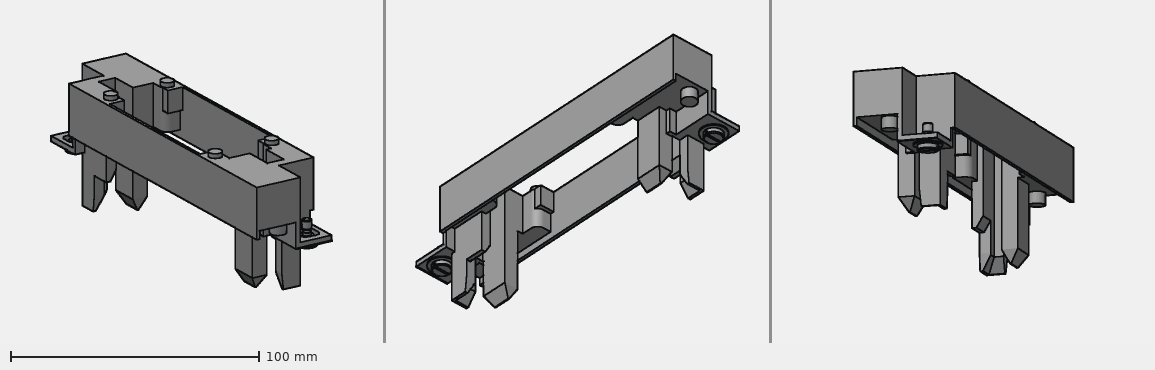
import cadquery as cq


FRAME_LENGTH = 155.2
FRAME_WIDTH = 37.6
FRAME_HEIGHT = 22.5
SIDE_WALL = 1.4
DECK_HEIGHT = 19.0
END_X = FRAME_LENGTH / 2
SIDE_Y = FRAME_WIDTH / 2
INNER_Y = SIDE_Y - SIDE_WALL

OPENING_LENGTH = 66.9
THROAT_LENGTH = 87.5
THROAT_WIDTH = 20.0
THROAT_X = THROAT_LENGTH / 2
SLOT_END_X = 56.9
SLOT_Y0 = -0.3
SLOT_Y1 = 7.6

PEG_X = 38.7
PEG_Y = 13.5
PEG_DIAMETER = 5.8
PEG_HEIGHT = 2.0
COLUMN_DIAMETER = 7.0
COLUMN_RADIUS = COLUMN_DIAMETER / 2
PAD_Y = 10.4
PAD_HEIGHT = 10.0

NOTCH_LENGTH = 16.0
NOTCH_Y = 2.2
NOTCH_X = END_X - NOTCH_LENGTH
FLANGE_WALL = 1.9
FLANGE_Y0 = 0.0
FLANGE_Y1 = 17.1
FLANGE_DEPTH = 30.5
FLANGE_THICKNESS = 2.5
FLANGE_TOP = FLANGE_THICKNESS - FLANGE_DEPTH
LIP = 0.3

RIB_X1 = 58.6
RIB_Y0 = -3.4
STUD_X = 72.2
STUD_Y = -5.1
STUD_DIAMETER = 7.0
STUD_END = 24.0

POST_DEPTH = 54.0
POINT_HEIGHT = 5.8
POINT_TOP = POINT_HEIGHT - POST_DEPTH
INNER_POST_X1 = 56.6
INNER_POST_Y0 = -7.3
POINT_X0 = 45.3
POINT_X1 = 53.3
POINT_Y0 = -3.9
POINT_Y1 = -3.4
ANGLE_X1 = NOTCH_X
ANGLE_Y0 = 3.5
ANGLE_Y1 = 12.5
ANGLE_ARM_X0 = 52.7
LEAD_IN = 3.5
LEAD_IN_HEIGHT = 6.2
END_TAPER = 0.8
END_TAPER_HEIGHT = 7.0
SHELF_DEPTH = 38.3
SHELF_FLAT = 2.0
SHELF_RISE = 4.7

SCREW_X = END_X - 7.8
SCREW_Y = 10.3
WINDOW_SIZE = 8.7
WINDOW_RADIUS = 2.6
WASHER_DIAMETER = 12.0
WASHER_BORE = 6.0
WASHER_THICKNESS = 0.6
HEAD_DIAMETER = 8.5
HEAD_HEIGHT = 2.3
HEAD_CHAMFER = 0.5
DRIVE_SLOT_WIDTH = 1.0
DRIVE_SLOT_DEPTH = 1.5
COLLAR_DIAMETER = 5.5
COLLAR_TOP = -28.8
STEP_DIAMETER = 3.5
STEP_TOP = -27.5
NECK_DIAMETER = 3.0
NECK_TOP = -26.5
TIP_DIAMETER = 4.0
TIP_SHOULDER = -25.8
TIP_END = -22.1
TIP_CHAMFER = 0.5


def block(x0, x1, y0, y1, z0, z1):
    """Box between two opposite corners."""
    return cq.Workplane("XY").box(x1 - x0, y1 - y0, z1 - z0, centered=False).translate((x0, y0, z0))


def cylinder(x, y, diameter, z0, z1):
    return cq.Workplane("XY").workplane(offset=z0).center(x, y).circle(diameter / 2).extrude(z1 - z0)


def half_turn(shape):
    return shape.rotate((0, 0, 0), (0, 0, 1), 180)


def hollow_deck():
    """Frame with its stepped opening, end slots and hollow underside; the hollow is open at both ends."""
    deck = block(-END_X, END_X, -SIDE_Y, SIDE_Y, -FRAME_HEIGHT, 0)
    hollow = block(-END_X, END_X, -INNER_Y, INNER_Y, -FRAME_HEIGHT, -DECK_HEIGHT)
    throat = block(-THROAT_X, THROAT_X, -INNER_Y, INNER_Y, -FRAME_HEIGHT, 0)
    slot = block(0, SLOT_END_X, SLOT_Y0, SLOT_Y1, -FRAME_HEIGHT, 0)
    return deck.cut(hollow).cut(throat).cut(slot).cut(half_turn(slot))


def column():
    """Corner filling of the opening: a rounded column with a square pad at its top, and a peg."""
    body = cylinder(PEG_X, PEG_Y, COLUMN_DIAMETER, -DECK_HEIGHT, 0)
    body = body.union(block(PEG_X, THROAT_X, THROAT_WIDTH / 2, INNER_Y, -DECK_HEIGHT, 0))
    body = body.union(block(PEG_X - COLUMN_RADIUS, PEG_X, PEG_Y, INNER_Y, -DECK_HEIGHT, 0))
    body = body.union(block(OPENING_LENGTH / 2, PEG_X, PAD_Y, INNER_Y, -PAD_HEIGHT, 0))
    return body.union(cylinder(PEG_X, PEG_Y, PEG_DIAMETER, 0, PEG_HEIGHT))


def flange():
    """Solid flange block under the deck and out to the frame side, before the notch is cut into it."""
    inner_x = NOTCH_X - FLANGE_WALL
    body = block(inner_x, END_X, FLANGE_Y0, FLANGE_Y1, -FLANGE_DEPTH, -DECK_HEIGHT)
    return body.union(block(inner_x, END_X, FLANGE_Y1, SIDE_Y, -FRAME_HEIGHT, -DECK_HEIGHT))


def flange_notch():
    """Notch above the flange plate, with the rounded square window for the screw."""
    notch = block(NOTCH_X, END_X, NOTCH_Y, SIDE_Y, FLANGE_TOP, 0)
    window = cq.Workplane("XY").workplane(offset=-FLANGE_DEPTH).center(SCREW_X, SCREW_Y)
    window = window.rect(WINDOW_SIZE, WINDOW_SIZE).extrude(FLANGE_THICKNESS)
    return notch.union(window.edges("|Z").fillet(WINDOW_RADIUS))


def stop_rib():
    """Rib beside the inner post, joined to the flange and the angle post."""
    rib = block(INNER_POST_X1, RIB_X1, RIB_Y0, ANGLE_Y0, -FLANGE_DEPTH, -DECK_HEIGHT)
    rib = rib.union(block(SLOT_END_X, NOTCH_X, FLANGE_Y0, ANGLE_Y0, -FLANGE_DEPTH, -DECK_HEIGHT))
    return rib.cut(block(0, SLOT_END_X, SLOT_Y0, SLOT_Y1, -FLANGE_DEPTH, 0))


def inner_post():
    """Rectangular post whose end tapers on four sides to a narrow ridge."""
    shank = block(THROAT_X, INNER_POST_X1, INNER_POST_Y0, SLOT_Y0, POINT_TOP, -DECK_HEIGHT)
    center_x = (THROAT_X + INNER_POST_X1) / 2
    center_y = (INNER_POST_Y0 + SLOT_Y0) / 2
    ridge_x = (POINT_X0 + POINT_X1) / 2
    ridge_y = (POINT_Y0 + POINT_Y1) / 2
    point = (
        cq.Workplane("XY").workplane(offset=POINT_TOP)
        .center(center_x, center_y).rect(INNER_POST_X1 - THROAT_X, SLOT_Y0 - INNER_POST_Y0)
        .workplane(offset=-POINT_HEIGHT)
        .center(ridge_x - center_x, ridge_y - center_y).rect(POINT_X1 - POINT_X0, POINT_Y1 - POINT_Y0)
        .loft(combine=True)
    )
    return shank.union(point)


def lead_in_cutter():
    """Widening of the inside corner of the angle post towards its lower end."""
    lead_in_top = LEAD_IN_HEIGHT - POST_DEPTH

    def sloped(plane, corner, free_end, length):
        outline = cq.Workplane(plane).moveTo(corner, lead_in_top).lineTo(corner + LEAD_IN, -POST_DEPTH)
        return outline.lineTo(free_end, -POST_DEPTH).lineTo(free_end, lead_in_top).close().extrude(length)

    cut_y = sloped("YZ", SLOT_Y1, 0, ANGLE_X1)
    cut_x = sloped("XZ", SLOT_END_X, 0, -ANGLE_Y1)
    return cut_y.intersect(cut_x)


def angle_post():
    """Post of L-shaped section around the slot corner, with a sloping shelf beside its upper part."""
    arm = block(ANGLE_ARM_X0, ANGLE_X1, SLOT_Y1, ANGLE_Y1, -POST_DEPTH, -DECK_HEIGHT)
    wall = block(SLOT_END_X, ANGLE_X1, ANGLE_Y0, ANGLE_Y1, -POST_DEPTH, -DECK_HEIGHT)
    shelf = (
        cq.Workplane("YZ").workplane(offset=THROAT_X)
        .moveTo(SLOT_Y1, -DECK_HEIGHT)
        .lineTo(ANGLE_Y1, -DECK_HEIGHT)
        .lineTo(ANGLE_Y1, -SHELF_DEPTH)
        .lineTo(ANGLE_Y1 - SHELF_FLAT, -SHELF_DEPTH)
        .lineTo(SLOT_Y1, SHELF_RISE - SHELF_DEPTH)
        .close().extrude(ANGLE_X1 - THROAT_X)
    )
    post = arm.union(wall)
    taper_top = END_TAPER_HEIGHT - POST_DEPTH
    arm_taper = (
        cq.Workplane("XZ").moveTo(ANGLE_ARM_X0, taper_top).lineTo(ANGLE_ARM_X0 + END_TAPER, -POST_DEPTH)
        .lineTo(ANGLE_ARM_X0, -POST_DEPTH).close().extrude(-ANGLE_Y1)
    )
    wall_taper = (
        cq.Workplane("YZ").moveTo(ANGLE_Y0, taper_top).lineTo(ANGLE_Y0 + END_TAPER, -POST_DEPTH)
        .lineTo(ANGLE_Y0, -POST_DEPTH).close().extrude(ANGLE_X1)
    )
    return post.cut(arm_taper).cut(wall_taper).cut(lead_in_cutter()).union(shelf)


def make_frame():
    frame = hollow_deck()
    for corner in (column(), column().mirror("XZ")):
        frame = frame.union(corner).union(half_turn(corner))
    end_parts = (
        flange(),
        stop_rib(),
        inner_post(),
        angle_post(),
        cylinder(STUD_X, STUD_Y, STUD_DIAMETER, -STUD_END, -DECK_HEIGHT),
    )
    for part in end_parts:
        frame = frame.union(part).union(half_turn(part))
    frame = frame.cut(flange_notch()).cut(half_turn(flange_notch()))
    lip = block(END_X, END_X + LIP, FLANGE_Y0, FLANGE_Y1, -FLANGE_DEPTH, LIP - FLANGE_DEPTH)
    return frame.union(lip)


def make_washer():
    washer_bottom = -FLANGE_DEPTH - WASHER_THICKNESS
    washer = cylinder(SCREW_X, SCREW_Y, WASHER_DIAMETER, washer_bottom, -FLANGE_DEPTH)
    return washer.cut(cylinder(SCREW_X, SCREW_Y, WASHER_BORE, washer_bottom, -FLANGE_DEPTH))


def make_screw():
    """Captive screw, head down: slotted head, stepped collar, thin neck and thicker tip."""
    head_top = -FLANGE_DEPTH - WASHER_THICKNESS
    head_bottom = head_top - HEAD_HEIGHT
    profile = (
        cq.Workplane("XZ")
        .moveTo(0, head_bottom)
        .lineTo(HEAD_DIAMETER / 2 - HEAD_CHAMFER, head_bottom)
        .lineTo(HEAD_DIAMETER / 2, head_bottom + HEAD_CHAMFER)
        .lineTo(HEAD_DIAMETER / 2, head_top)
        .lineTo(COLLAR_DIAMETER / 2, head_top)
        .lineTo(COLLAR_DIAMETER / 2, COLLAR_TOP)
        .lineTo(STEP_DIAMETER / 2, COLLAR_TOP)
        .lineTo(STEP_DIAMETER / 2, STEP_TOP)
        .lineTo(NECK_DIAMETER / 2, STEP_TOP)
        .lineTo(NECK_DIAMETER / 2, NECK_TOP)
        .lineTo(TIP_DIAMETER / 2, TIP_SHOULDER)
        .lineTo(TIP_DIAMETER / 2, TIP_END - TIP_CHAMFER)
        .lineTo(TIP_DIAMETER / 2 - TIP_CHAMFER, TIP_END)
        .lineTo(0, TIP_END)
        .close()
    )
    screw = profile.revolve(360, (0, 0, 0), (0, 1, 0))
    half_slot = DRIVE_SLOT_WIDTH / 2
    drive_slot = block(
        -half_slot, half_slot, -HEAD_DIAMETER, HEAD_DIAMETER, head_bottom, head_bottom + DRIVE_SLOT_DEPTH
    )
    return screw.cut(drive_slot).translate((SCREW_X, SCREW_Y, 0))


frame = make_frame()
bodies = [frame.val()]
for fastener in (make_washer(), make_screw()):
    bodies.append(fastener.val())
    bodies.append(half_turn(fastener).val())

result = cq.Compound.makeCompound(bodies)